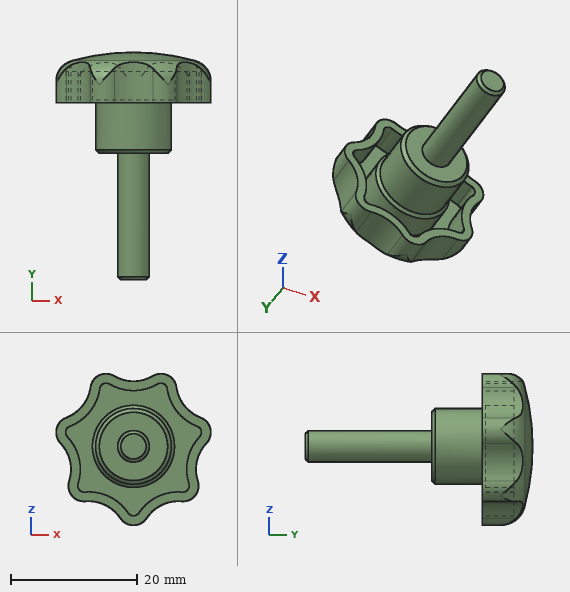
import cadquery as cq
import math

lobe_count = 7
lobe_pitch_radius = 10.0
lobe_radius = 2.5
flute_radius = 6.0
wall_thickness = 1.5

head_height = 8.02
dome_radius = 36.0
crown_edge_radius = 4.0
recess_depth = 5.0

hub_diameter = 12.0
hub_length = 8.0
hub_chamfer = 0.6
collar_diameter = 13.0
collar_cone_height = 0.5

stud_diameter = 5.0
stud_length = 20.0
stud_chamfer = 0.5

head_radius = lobe_pitch_radius + lobe_radius
hub_end = -hub_length
stud_end = hub_end - stud_length


def polar(radius, angle):
    """Point in the XZ plane at the given distance and angle from the axis."""
    return (radius * math.cos(angle), radius * math.sin(angle))


def star_prism(inset, depth):
    """Prism of the lobed outline, moved inward by inset, from the rim toward +Y."""
    half_pitch = math.pi / lobe_count
    tip_radius = lobe_radius - inset
    scallop_radius = flute_radius + inset

    centre_distance = lobe_radius + flute_radius
    lobe_offset = lobe_pitch_radius * math.sin(half_pitch)
    scallop_pitch_radius = (lobe_pitch_radius * math.cos(half_pitch)
                            + math.sqrt(centre_distance**2 - lobe_offset**2))
    valley_radius = scallop_pitch_radius - scallop_radius

    tangent_across = lobe_offset * scallop_radius / centre_distance
    tangent_along = (scallop_pitch_radius
                     - math.sqrt(scallop_radius**2 - tangent_across**2))
    tangent_distance = math.hypot(tangent_along, tangent_across)
    tangent_angle = math.atan2(tangent_across, tangent_along)

    first_valley = math.pi / 2
    outline = cq.Workplane("XZ").moveTo(*polar(tangent_distance, first_valley - tangent_angle))
    for index in range(lobe_count):
        valley = first_valley + 2 * half_pitch * index
        lobe = valley + half_pitch
        next_valley = lobe + half_pitch
        outline = outline.threePointArc(
            polar(valley_radius, valley),
            polar(tangent_distance, valley + tangent_angle),
        )
        outline = outline.threePointArc(
            polar(lobe_pitch_radius + tip_radius, lobe),
            polar(tangent_distance, next_valley - tangent_angle),
        )
    return outline.close().extrude(-depth)


def domed_blank():
    """Round blank with a spherical crown and a rounded edge."""
    dome_centre = head_height - dome_radius
    edge_centre_x = head_radius - crown_edge_radius
    centre_gap = dome_radius - crown_edge_radius
    edge_centre_y = dome_centre + math.sqrt(centre_gap**2 - edge_centre_x**2)

    blend_angle = math.asin(edge_centre_x / centre_gap)
    crown_middle = blend_angle / 2
    edge_middle = (blend_angle + math.pi / 2) / 2

    def on_dome(angle):
        return (dome_radius * math.sin(angle), dome_centre + dome_radius * math.cos(angle))

    def on_edge(angle):
        return (edge_centre_x + crown_edge_radius * math.sin(angle),
                edge_centre_y + crown_edge_radius * math.cos(angle))

    profile = (
        cq.Workplane("XY")
        .lineTo(head_radius, 0)
        .lineTo(head_radius, edge_centre_y)
        .threePointArc(on_edge(edge_middle), on_dome(blend_angle))
        .threePointArc(on_dome(crown_middle), (0, head_height))
        .close()
    )
    return profile.revolve(360, (0, 0), (0, 1))


def head():
    """Lobed head with a domed top and a hollow underside."""
    body = domed_blank().intersect(star_prism(0, head_height))
    return body.cut(star_prism(wall_thickness, recess_depth))


def hub_and_stud():
    """Hub with a tapered collar and the plain stud, turned as one profile."""
    hub_radius = hub_diameter / 2
    collar_radius = collar_diameter / 2
    stud_radius = stud_diameter / 2
    profile = cq.Workplane("XY").polyline([
        (0, recess_depth),
        (collar_radius, recess_depth),
        (collar_radius, collar_cone_height),
        (hub_radius, 0),
        (hub_radius, hub_end + hub_chamfer),
        (hub_radius - hub_chamfer, hub_end),
        (stud_radius, hub_end),
        (stud_radius, stud_end + stud_chamfer),
        (stud_radius - stud_chamfer, stud_end),
        (0, stud_end),
    ]).close()
    return profile.revolve(360, (0, 0), (0, 1))


result = head().union(hub_and_stud())